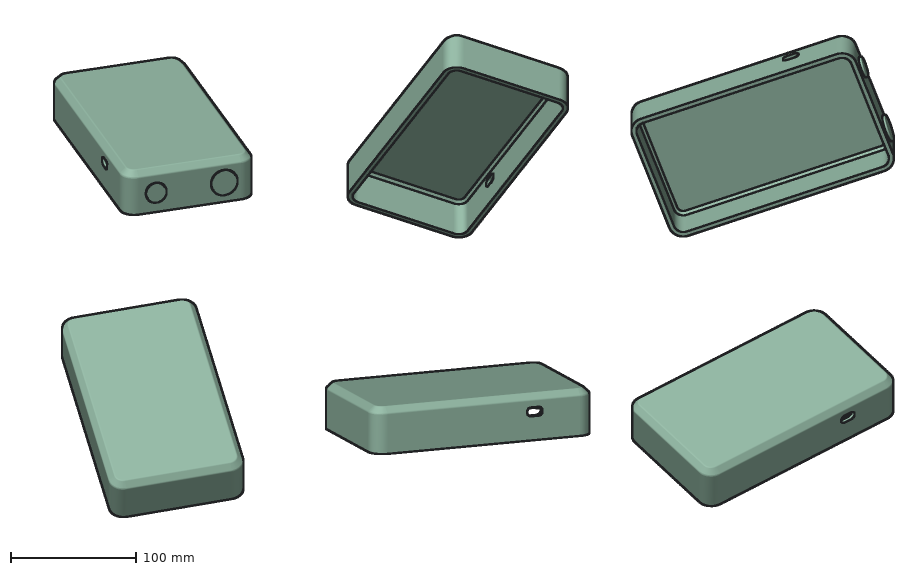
import cadquery as cq
import math

overall_length = 192.5
width = 110.0
height = 38.0
button_height = 2.5
body_length = overall_length - button_height

corner_radius = 12.0
top_chamfer = 5.0
edge_blend = 2.0

wall = 4.0
inner_chamfer = top_chamfer - wall * (2 - math.sqrt(2))

slot_length = 13.3
slot_height = 7.5
slot_x = 43.9
slot_z = 23.5

button_z = 18.0
button_edge_fillet = 0.5
large_button_diameter = 22.0
large_button_y = 28.3
small_button_diameter = 17.1
small_button_y = -28.9


def chamfered_block(length, depth, tall, radius, chamfer):
    """Block standing on Z = 0 with rounded vertical corners and a chamfered top rim."""
    block = cq.Workplane("XY").box(length, depth, tall, centered=(True, True, False))
    return block.edges("|Z").fillet(radius).faces(">Z").chamfer(chamfer)


def outer_block():
    """Outer shape with both edges of the top chamfer softened."""
    block = chamfered_block(body_length, width, height, corner_radius, top_chamfer)
    rim_bottom = height - top_chamfer
    margin = top_chamfer / 10
    lower_rim = cq.selectors.BoxSelector(
        (-body_length, -width, rim_bottom - margin),
        (body_length, width, rim_bottom + margin),
    )
    chamfer_edges = block.faces(">Z").edges().add(block.edges(lower_rim))
    return chamfer_edges.fillet(edge_blend)


def cavity():
    """Inside space, following the outer shape one wall thickness in."""
    return chamfered_block(
        body_length - 2 * wall,
        width - 2 * wall,
        height - wall,
        corner_radius - wall,
        inner_chamfer,
    )


def front_slot():
    """Round-ended cutter that passes through the -Y wall only."""
    return (
        cq.Workplane("XZ", origin=(slot_x, -width / 2, slot_z))
        .slot2D(slot_length, slot_height)
        .extrude(2 * wall, both=True)
    )


def button(y, diameter):
    """Disc with rounded edges standing on the +X end wall."""
    return (
        cq.Workplane("YZ", origin=(body_length / 2, y, button_z))
        .circle(diameter / 2)
        .extrude(button_height)
        .faces("|X")
        .edges()
        .fillet(button_edge_fillet)
    )


result = outer_block().cut(cavity()).cut(front_slot())
result = result.union(button(large_button_y, large_button_diameter))
result = result.union(button(small_button_y, small_button_diameter))